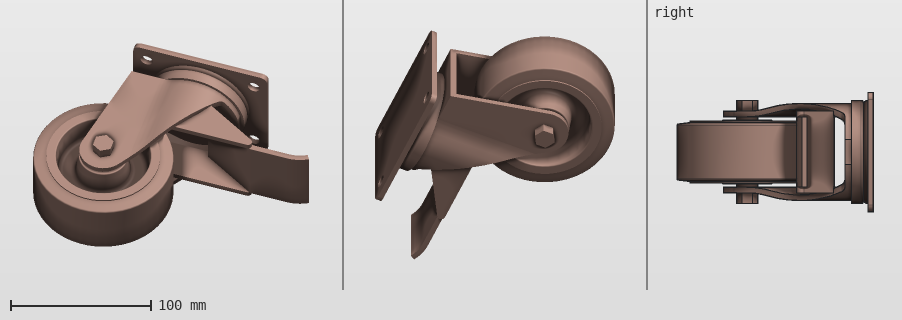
import cadquery as cq
import math


overall_height = 140.0
wheel_radius = 100.0 / 2

sheet = 4.0
leg_inner_z = 25.0
leg_outer_z = leg_inner_z + sheet

swivel_x = 45.0
plate_top_y = overall_height - wheel_radius
plate_length = 100.0
plate_width = 85.0
plate_corner_radius = 5.0
hole_diameter = 9.0
hole_spacing_x = 80.0
hole_spacing_z = 60.0

ring_radius = 73.5 / 2
upper_ring_blend = 2.9
lower_ring_blend = 2.0
ring_bottom_y = 74.2
ring_split_y = 83.0
ring_top_y = plate_top_y - sheet

fork_back_x = 78.4
fork_arc_radius = 34.5
fork_blend_start_x = 19.5
fork_end_radius = 17.0
fork_front_top_x = -2.5
fork_lip_depth = 0.5
fork_lip_y = ring_bottom_y - sheet - fork_lip_depth
fork_slope_angle = 56.5
fork_lip_blend = 5.0

tread_edge_z = 19.9
tread_edge_radius = 1.1
rim_radius = 81.2 / 2
tread_inner_z = 21.0
rim_z = 22.2
web_half_thickness = 5.0
rim_opening_radius = 33.8
rim_blend = 1.0
dish_outer_radius = 31.5
dish_inner_radius = 19.9
floor_blend = 3.5
hub_radius = 17.5
hub_z = 22.7
hub_blend = 0.8

spacer_diameter = 15.1
bolt_head_diameter = 15.1
bolt_head_z = 36.7

pedal_bottom_y = 35.2
pedal_bend_x = 98.6
pedal_slope_angle = 30.0
pedal_front_x = 60.0
pedal_curl_x = 126.1
pedal_curl_radius = 30.0
pedal_curl_angle = 30.0
cheek_front_x = 16.2
cheek_tip_radius = 2.9


def polar(radius, degrees):
    """Point at a radius and angle from the origin."""
    angle = math.radians(degrees)
    return radius * math.cos(angle), radius * math.sin(angle)


def make_plate():
    """Rectangular plate with round corners and four bolt holes."""
    plate = (
        cq.Workplane("XZ", origin=(swivel_x, plate_top_y, 0))
        .rect(plate_length, plate_width)
        .extrude(sheet)
        .edges("|Y")
        .fillet(plate_corner_radius)
    )
    holes = (
        cq.Workplane("XZ", origin=(swivel_x, plate_top_y, 0))
        .rect(hole_spacing_x, hole_spacing_z, forConstruction=True)
        .vertices()
        .circle(hole_diameter / 2)
        .extrude(sheet)
    )
    return plate.cut(holes)


def make_ring(bottom_y, top_y, rounded_edge, blend):
    """Bearing ring with one rounded rim."""
    return (
        cq.Workplane("XZ", origin=(swivel_x, top_y, 0))
        .circle(ring_radius)
        .extrude(top_y - bottom_y)
        .edges(rounded_edge)
        .fillet(blend)
    )


def fork_section(flat_z, arc_radius, height):
    """Prism with two flat sides that blend into an arc about the swivel axis."""
    run = swivel_x - fork_blend_start_x
    blend_radius = (run**2 + flat_z**2 - arc_radius**2) / (2 * (arc_radius - flat_z))
    blend_z = flat_z + blend_radius
    tilt = math.atan2(blend_z, run)
    arc_start_x = swivel_x - arc_radius * math.cos(tilt)
    arc_start_z = arc_radius * math.sin(tilt)
    middle = (tilt + math.pi / 2) / 2
    blend_middle_x = fork_blend_start_x + blend_radius * math.cos(middle)
    blend_middle_z = blend_z - blend_radius * math.sin(middle)
    front_x = -2 * fork_end_radius
    return (
        cq.Workplane("XZ", origin=(0, ring_bottom_y, 0))
        .moveTo(front_x, flat_z)
        .lineTo(fork_blend_start_x, flat_z)
        .threePointArc((blend_middle_x, blend_middle_z), (arc_start_x, arc_start_z))
        .threePointArc((swivel_x + arc_radius, 0), (arc_start_x, -arc_start_z))
        .threePointArc((blend_middle_x, -blend_middle_z), (fork_blend_start_x, -flat_z))
        .lineTo(front_x, -flat_z)
        .close()
        .extrude(height)
    )


def fork_side_outline():
    """Side shape of the fork, extruded through its full width."""
    corner_distance = math.hypot(fork_front_top_x, ring_bottom_y)
    corner_angle = math.degrees(math.atan2(ring_bottom_y, fork_front_top_x))
    front_angle = corner_angle + math.degrees(math.acos(fork_end_radius / corner_distance))
    back_angle = fork_slope_angle - 90
    back_tangent = polar(fork_end_radius, back_angle)
    rise = fork_lip_y - back_tangent[1]
    lip_corner_x = back_tangent[0] + rise / math.tan(math.radians(fork_slope_angle))
    lip_corner = (lip_corner_x, fork_lip_y)
    outline = (
        cq.Workplane("XY", origin=(0, 0, -fork_arc_radius))
        .moveTo(fork_front_top_x, ring_bottom_y)
        .lineTo(*polar(fork_end_radius, front_angle))
        .threePointArc((0, -fork_end_radius), back_tangent)
        .lineTo(*lip_corner)
        .lineTo(fork_back_x, fork_lip_y)
        .lineTo(fork_back_x, ring_bottom_y)
        .close()
        .extrude(2 * fork_arc_radius)
    )
    lip_edge = cq.selectors.NearestToPointSelector((*lip_corner, 0))
    return outline.edges(lip_edge).fillet(fork_lip_blend)


def make_fork():
    """Pressed fork: a top wall with two legs, bulged around the swivel axis."""
    height = ring_bottom_y + fork_end_radius
    outside = fork_section(leg_outer_z, fork_arc_radius, height)
    inside = fork_section(leg_inner_z, fork_arc_radius - sheet, height).translate((0, -sheet, 0))
    return outside.cut(inside).intersect(fork_side_outline())


def make_wheel():
    """Wheel turned about Z, with a dished web between hub and rim on each side."""
    tread_edge = (wheel_radius, tread_edge_z)
    rim_opening = (rim_opening_radius, rim_z)
    dish_outer = (dish_outer_radius, web_half_thickness)
    dish_inner = (dish_inner_radius, web_half_thickness)
    hub_edge = (hub_radius, hub_z)
    profile = cq.Sketch().polygon(
        [
            (0, 0),
            (wheel_radius, 0),
            tread_edge,
            (rim_radius, tread_inner_z),
            (rim_radius, rim_z),
            rim_opening,
            dish_outer,
            dish_inner,
            hub_edge,
            (0, hub_z),
            (0, 0),
        ]
    )
    blends = [
        (tread_edge, tread_edge_radius),
        (rim_opening, rim_blend),
        (dish_outer, floor_blend),
        (dish_inner, floor_blend),
        (hub_edge, hub_blend),
    ]
    for (radius, z), blend in blends:
        corner = cq.selectors.NearestToPointSelector((radius, z, 0))
        profile = profile.vertices(corner).fillet(blend).reset()
    half = cq.Workplane("XZ").placeSketch(profile).revolve(360, (0, 0, 0), (0, 1, 0))
    return half.union(half.mirror("XY"))


def make_axle():
    """Through bolt with hexagonal ends and spacers against the fork legs."""
    spacer = cq.Workplane("XY").circle(spacer_diameter / 2).extrude(leg_outer_z, both=True)
    heads = (
        cq.Workplane("XY")
        .transformed(rotate=(0, 0, 90))
        .polygon(6, bolt_head_diameter)
        .extrude(bolt_head_z, both=True)
    )
    return spacer.union(heads)


def make_pedal():
    """Bent pedal sheet carried by two tapered cheeks."""
    slope = math.tan(math.radians(pedal_slope_angle))
    slope_height = sheet / math.cos(math.radians(pedal_slope_angle))
    front_bottom_y = pedal_bottom_y + (pedal_bend_x - pedal_front_x) * slope
    front_top_y = front_bottom_y + slope_height
    pedal_top_y = pedal_bottom_y + sheet
    upper_bend_x = pedal_front_x + (front_top_y - pedal_top_y) / slope

    def curl(radius, degrees):
        """Point on the upward curl, measured from where the flat tread ends."""
        x, y = polar(radius, degrees - 90)
        return pedal_curl_x + x, pedal_bottom_y + pedal_curl_radius + y

    inner_radius = pedal_curl_radius - sheet
    tread = (
        cq.Workplane("XY", origin=(0, 0, -leg_inner_z))
        .moveTo(pedal_front_x, front_bottom_y)
        .lineTo(pedal_bend_x, pedal_bottom_y)
        .lineTo(pedal_curl_x, pedal_bottom_y)
        .threePointArc(
            curl(pedal_curl_radius, pedal_curl_angle / 2), curl(pedal_curl_radius, pedal_curl_angle)
        )
        .lineTo(*curl(inner_radius, pedal_curl_angle))
        .threePointArc(curl(inner_radius, pedal_curl_angle / 2), curl(inner_radius, 0))
        .lineTo(upper_bend_x, pedal_top_y)
        .lineTo(pedal_front_x, front_top_y)
        .close()
        .extrude(2 * leg_inner_z)
    )

    tip_x = pedal_front_x + (front_top_y - pedal_bottom_y) / slope
    tip_edge = cq.selectors.NearestToPointSelector((tip_x, pedal_bottom_y, leg_inner_z + sheet / 2))
    cheek = (
        cq.Workplane("XY", origin=(0, 0, leg_inner_z))
        .moveTo(cheek_front_x, pedal_bottom_y)
        .lineTo(tip_x, pedal_bottom_y)
        .lineTo(pedal_front_x, front_top_y)
        .lineTo(cheek_front_x, front_top_y)
        .close()
        .extrude(sheet)
        .edges(tip_edge)
        .fillet(cheek_tip_radius)
    )
    return tread.union(cheek).union(cheek.mirror("XY"))


upper_ring = make_ring(ring_split_y, ring_top_y, "<Y", upper_ring_blend)
lower_ring = make_ring(ring_bottom_y, ring_split_y, ">Y", lower_ring_blend)

result = make_plate()
for component in (upper_ring, lower_ring, make_fork(), make_pedal(), make_axle(), make_wheel()):
    result = result.union(component)